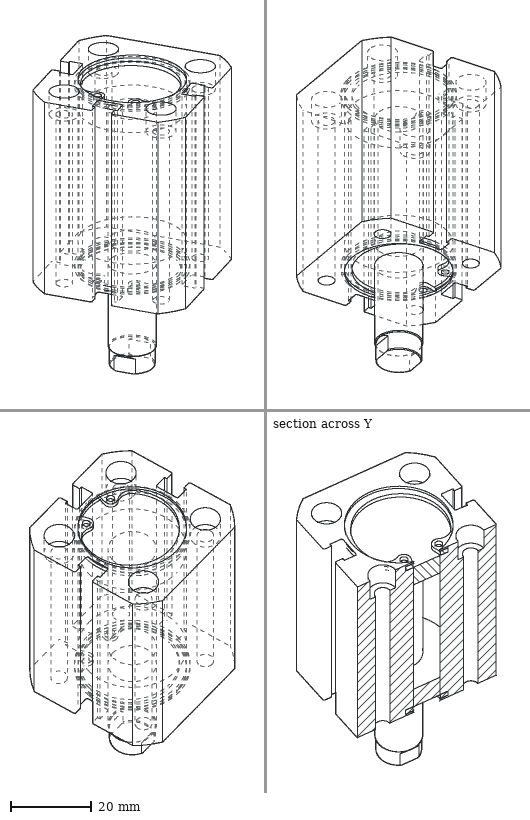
import cadquery as cq
import math

overall_length = 79.0
housing_width = 41.0
housing_height = 53.0
corner_radius = 25.5

slot_mouth_width = 5.2
slot_inner_width = 6.7
slot_lip_depth = 2.4
slot_floor = 14.5
slot_lip_fillet = 0.5
slot_floor_fillet = 0.5

mount_pitch = 26.0
mount_hole_diameter = 4.2
counterbore_diameter = 7.5
counterbore_depth = 6.3

bore_radius = 13.5
groove_radius = 14.4
ring_setback = 0.8
ring_thickness = 1.2
ring_inner_faces = ring_setback + ring_thickness

ring_opening_radius = 12.5
ring_opening_center = (0.0, -0.95)
lug_center = (5.1, -10.4)
lug_radius = 1.8
lug_hole_diameter = 2.0
lug_blend_radius = 3.55

cover_thickness = 6.3

rod_diameter = 12.0
rod_chamfer = 0.2
tip_diameter = 11.45
tip_length = 5.0
tip_chamfer = 0.2
tip_across_flats = 9.95

half_width = housing_width / 2
rod_bottom = housing_height - overall_length
rear_cover_bottom = housing_height - ring_inner_faces - cover_thickness


def disc(radius, bottom, height):
    return cq.Workplane("XY").workplane(offset=bottom).circle(radius).extrude(height)


def slot_cutter(angle):
    """T-slot along the front (-Y) face, turned about the axis to another face."""
    lip_bottom = half_width - slot_lip_depth
    mouth = (
        cq.Workplane("XY")
        .center(0, -(half_width + slot_floor) / 2)
        .rect(slot_mouth_width, half_width - slot_floor)
        .extrude(housing_height)
    )
    inner = (
        cq.Workplane("XY")
        .center(0, -(lip_bottom + slot_floor) / 2)
        .rect(slot_inner_width, lip_bottom - slot_floor)
        .extrude(housing_height)
        .edges("|Z and >Y")
        .fillet(slot_floor_fillet)
    )
    return mouth.union(inner).rotate((0, 0, 0), (0, 0, 1), angle)


def mouth_corner_selector(angle):
    """Box around the two outer corner edges of a slot turned by the given angle."""
    margin = 0.1
    turn = math.radians(angle)
    center = cq.Vector(math.sin(turn) * half_width, -math.cos(turn) * half_width, housing_height / 2)
    reach = slot_mouth_width + 2 * margin
    depth = 2 * margin
    size = (reach, depth, housing_height) if angle == 0 else (depth, reach, housing_height)
    low = center - cq.Vector(*size) / 2
    high = center + cq.Vector(*size) / 2
    return cq.selectors.BoxSelector(low.toTuple(), high.toTuple())


def make_housing():
    block = cq.Workplane("XY").rect(housing_width, housing_width).extrude(housing_height)
    body = block.intersect(disc(corner_radius, 0, housing_height))

    for angle in (0, 90, -90):
        body = body.cut(slot_cutter(angle))
        body = body.edges("|Z").edges(mouth_corner_selector(angle)).fillet(slot_lip_fillet)

    body = (
        body.faces(">Z")
        .workplane(origin=(0, 0, housing_height))
        .rect(mount_pitch, mount_pitch, forConstruction=True)
        .vertices()
        .cboreHole(mount_hole_diameter, counterbore_diameter, counterbore_depth)
    )

    body = body.cut(disc(bore_radius, 0, housing_height))
    for groove_bottom in (ring_setback, housing_height - ring_inner_faces):
        body = body.cut(disc(groove_radius, groove_bottom, ring_thickness))
    return body


def toward(start, end, distance):
    """Point at the given distance from start on the line to end."""
    ratio = distance / math.dist(start, end)
    return (start[0] + (end[0] - start[0]) * ratio, start[1] + (end[1] - start[1]) * ratio)


def blend_center():
    """Centre of the arc tangent inside the ring opening and outside the lug."""
    to_opening = ring_opening_radius - lug_blend_radius
    to_lug = lug_radius + lug_blend_radius
    base = math.dist(ring_opening_center, lug_center)
    along = (to_opening**2 - to_lug**2 + base**2) / (2 * base)
    aside = math.sqrt(to_opening**2 - along**2)
    foot = toward(ring_opening_center, lug_center, along)
    unit_x = (lug_center[0] - ring_opening_center[0]) / base
    unit_y = (lug_center[1] - ring_opening_center[1]) / base
    return (foot[0] - unit_y * aside, foot[1] + unit_x * aside)


def arc_middle(center, start, end):
    """Middle point of the shorter arc from start to end."""
    chord_middle = ((start[0] + end[0]) / 2, (start[1] + end[1]) / 2)
    return toward(center, chord_middle, math.dist(center, start))


def mirrored(point):
    return (-point[0], point[1])


def make_retaining_ring(bottom):
    lug_distance = math.hypot(*lug_center)
    gap_angle = math.atan2(lug_center[1], lug_center[0]) - math.asin(lug_radius / lug_distance)
    gap_direction = (math.cos(gap_angle), math.sin(gap_angle))
    outer_end = toward((0, 0), gap_direction, groove_radius)
    lug_start = toward((0, 0), gap_direction, math.sqrt(lug_distance**2 - lug_radius**2))

    blend = blend_center()
    lug_end = toward(lug_center, blend, lug_radius)
    blend_end = toward(ring_opening_center, blend, ring_opening_radius)
    lug_middle = arc_middle(lug_center, lug_start, lug_end)
    blend_middle = arc_middle(blend, lug_end, blend_end)
    opening_top = (0, ring_opening_center[1] + ring_opening_radius)

    return (
        cq.Workplane("XY")
        .workplane(offset=bottom)
        .moveTo(*outer_end)
        .lineTo(*lug_start)
        .threePointArc(lug_middle, lug_end)
        .threePointArc(blend_middle, blend_end)
        .threePointArc(opening_top, mirrored(blend_end))
        .threePointArc(mirrored(blend_middle), mirrored(lug_end))
        .threePointArc(mirrored(lug_middle), mirrored(lug_start))
        .lineTo(*mirrored(outer_end))
        .threePointArc((0, groove_radius), outer_end)
        .close()
        .pushPoints([lug_center, mirrored(lug_center)])
        .circle(lug_hole_diameter / 2)
        .extrude(ring_thickness)
    )


def make_rear_cover():
    return disc(bore_radius, rear_cover_bottom, cover_thickness)


def make_front_cover():
    cover = disc(bore_radius, ring_inner_faces, cover_thickness)
    return cover.cut(disc(rod_diameter / 2, ring_inner_faces, cover_thickness))


def flat_cutter():
    """Wrench flat on the -Y side of the rod tip, running out at 45 degrees."""
    shoulder = rod_bottom + tip_length
    tip_radius = tip_diameter / 2
    flat = tip_across_flats / 2
    runout = tip_radius - flat
    return (
        cq.Workplane("YZ")
        .polyline([
            (-flat, rod_bottom),
            (-flat, shoulder - runout),
            (-tip_radius, shoulder),
            (-tip_radius, rod_bottom),
        ])
        .close()
        .extrude(tip_radius, both=True)
    )


def make_rod():
    shoulder = rod_bottom + tip_length
    shaft = disc(rod_diameter / 2, shoulder, rear_cover_bottom - shoulder).faces("<Z").chamfer(rod_chamfer)
    tip = disc(tip_diameter / 2, rod_bottom, tip_length).faces("<Z").chamfer(tip_chamfer)
    flat = flat_cutter()
    return shaft.union(tip).cut(flat).cut(flat.mirror("XZ"))


housing = make_housing()
rear_cover = make_rear_cover()
front_cover = make_front_cover()
rod = make_rod()
rings = [
    make_retaining_ring(bottom).val()
    for bottom in (ring_setback, housing_height - ring_inner_faces)
]

result = cq.Compound.makeCompound([
    housing.val(),
    rear_cover.val(),
    front_cover.val(),
    rod.val(),
    *rings,
])